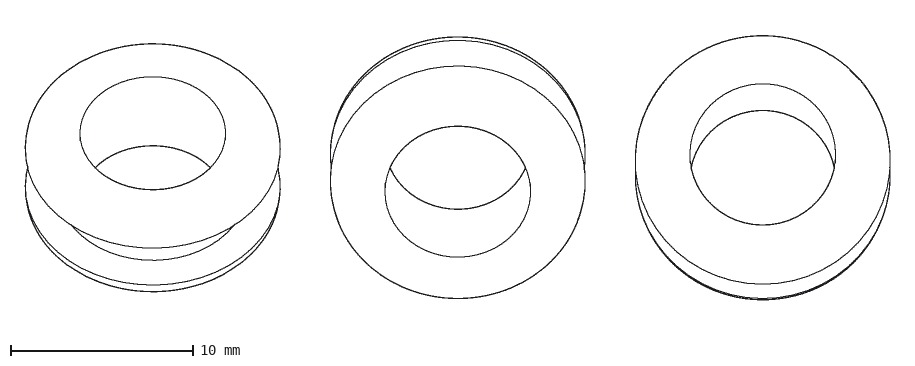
import cadquery as cq

outer_diameter = 14.0
height = 6.0
neck_diameter = 10.5
bore_diameter = 8.0
flange_thickness = 1.4
rim_radius = 1.25


def disc(diameter, thickness):
    """Solid disc centred on the Z axis and on the XY plane."""
    return cq.Workplane("XY").circle(diameter / 2).extrude(thickness / 2, both=True)


flange_offset = (height - flange_thickness) / 2
flange_blank = disc(outer_diameter, flange_thickness)
top_flange = flange_blank.faces(">Z").edges().fillet(rim_radius).translate((0, 0, flange_offset))
bottom_flange = flange_blank.faces("<Z").edges().fillet(rim_radius).translate((0, 0, -flange_offset))

neck = disc(neck_diameter, height - flange_thickness)
bore = disc(bore_diameter, height)

result = neck.union(top_flange).union(bottom_flange).cut(bore)